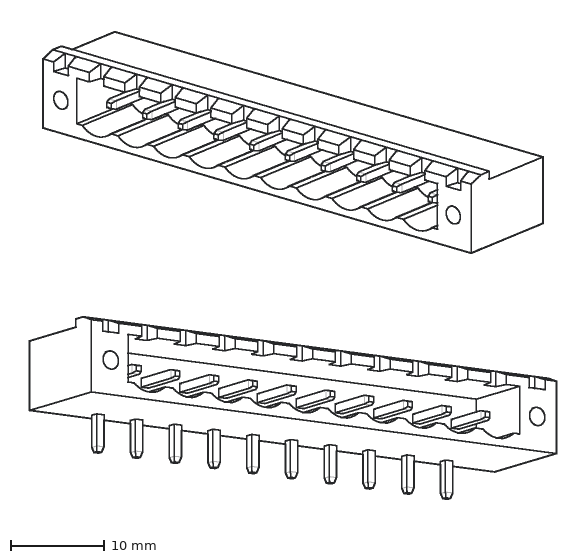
import cadquery as cq
import math


pin_count = 10
housing_length = 60.0
pitch = housing_length / (pin_count + 2)

housing_depth = 12.0
housing_height = 8.5
ridge_height = 0.9
ridge_depth = 3.05
chamfer_depth = 1.6
chamfer_drop = 0.6

flange_width = 4.75
pocket_depth = 8.4
pocket_floor = 1.6
pocket_ceiling = 6.85
scallop_radius = 2.95

slot_front_width = 2.05
slot_back_width = 1.5

screw_hole_diameter = 2.0
screw_hole_depth = pocket_depth

pin_width = 0.95
pin_axis_z = 3.8
overall_height = 12.6
pin_tip_y = 2.1
pin_leg_y = 10.0
pin_leg_length = overall_height - housing_height
taper_length = 0.6
taper_inset = 0.2


def row_positions(count):
    """X positions of a centred row spaced at the pin pitch."""
    return [(i - (count - 1) / 2) * pitch for i in range(count)]


pin_positions = row_positions(pin_count)
slot_positions = row_positions(pin_count + 2)
hole_positions = [slot_positions[0], slot_positions[-1]]


def make_housing():
    """Stepped block with a sloped front upper edge."""
    profile = [
        (0, 0),
        (housing_depth, 0),
        (housing_depth, housing_height - ridge_height),
        (ridge_depth, housing_height - ridge_height),
        (ridge_depth, housing_height),
        (chamfer_depth, housing_height),
        (0, housing_height - chamfer_drop),
    ]
    block = cq.Workplane("YZ").polyline(profile).close()
    return block.extrude(housing_length / 2, both=True)


def make_pocket():
    """Mating pocket whose floor is scalloped concentrically with every pin."""
    half_length = housing_length / 2 - flange_width
    half_chord = math.sqrt(scallop_radius**2 - (pin_axis_z - pocket_floor) ** 2)
    outline = cq.Workplane("XZ").moveTo(-half_length, pocket_ceiling)
    outline = outline.lineTo(-half_length, pocket_floor)
    for x in pin_positions:
        outline = outline.lineTo(x - half_chord, pocket_floor)
        outline = outline.threePointArc(
            (x, pin_axis_z - scallop_radius), (x + half_chord, pocket_floor)
        )
    outline = outline.lineTo(half_length, pocket_floor)
    outline = outline.lineTo(half_length, pocket_ceiling).close()
    return outline.extrude(-pocket_depth)


def make_slot(x):
    """Coding slot, narrowing from the mating face to the top of the slope."""
    plan = [
        (x - slot_front_width / 2, 0),
        (x + slot_front_width / 2, 0),
        (x + slot_back_width / 2, chamfer_depth),
        (x - slot_back_width / 2, chamfer_depth),
    ]
    slot = cq.Workplane("XY", origin=(0, 0, pocket_ceiling)).polyline(plan).close()
    return slot.extrude(housing_height - pocket_ceiling)


def make_screw_hole(x):
    hole = cq.Workplane("XZ").center(x, pin_axis_z).circle(screw_hole_diameter / 2)
    return hole.extrude(-screw_hole_depth)


def make_bar(plane, length):
    """Square bar that grows along the plane normal and ends in a tapered tip."""
    tip_width = pin_width - 2 * taper_inset
    shank_length = length - taper_length
    shank = cq.Workplane(plane).rect(pin_width, pin_width).extrude(shank_length)
    tip = (
        cq.Workplane(plane)
        .workplane(offset=shank_length)
        .rect(pin_width, pin_width)
        .workplane(offset=taper_length)
        .rect(tip_width, tip_width)
        .loft(ruled=True)
    )
    return shank.union(tip)


def make_pin(x):
    """Bent pin: a contact along -Y and a solder leg along -Z."""
    contact_start = (x, pin_leg_y + pin_width / 2, pin_axis_z)
    leg_start = (x, pin_leg_y, pin_axis_z + pin_width / 2)
    contact_length = contact_start[1] - pin_tip_y
    leg_length = leg_start[2] + pin_leg_length
    contact = make_bar(cq.Plane(contact_start, (1, 0, 0), (0, -1, 0)), contact_length)
    leg = make_bar(cq.Plane(leg_start, (1, 0, 0), (0, 0, -1)), leg_length)
    return contact.union(leg)


result = make_housing().cut(make_pocket())
for x in slot_positions:
    result = result.cut(make_slot(x))
for x in hole_positions:
    result = result.cut(make_screw_hole(x))
for x in pin_positions:
    result = result.union(make_pin(x))